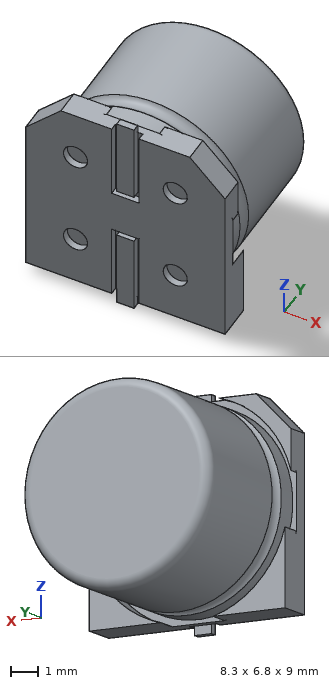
import cadquery as cq

plate_side = 8.3
corner_chamfer = 1.47
low_wall_height = 1.03
high_wall_height = 1.47
pocket_floor = 0.61
pocket_radius = 4.29

can_radius = 4.0
can_top = 6.8
can_edge_fillet = 0.4
groove_width = 0.68
groove_depth = 0.19

lead_span = 9.0
lead_width = 0.72
lead_gap = 2.21
slot_width = 1.13
slot_gap = 1.82
slot_depth = 0.3

hole_diameter = 1.0
hole_spacing = plate_side / 2
hole_depth = 0.3

half_side = plate_side / 2


def block(width, y_start, y_end, z_start, z_end):
    """Box centred on x = 0 between the given Y and Z limits."""
    return cq.Workplane("XY").box(
        width, y_end - y_start, z_end - z_start, centered=(True, False, False)
    ).translate((0, y_start, z_start))


def cylinder(radius, y_start, y_end, x=0, z=0):
    """Cylinder along Y between the given limits."""
    axis_start = cq.Vector(x, y_start, z)
    solid = cq.Solid.makeCylinder(radius, y_end - y_start, axis_start, cq.Vector(0, 1, 0))
    return cq.Workplane(obj=solid)


def make_base():
    """Square base with two chamfered corners and corner walls around a round pocket."""
    upper_half = block(plate_side, 0, low_wall_height, 0, half_side)
    upper_half = upper_half.edges("|Y and >Z").chamfer(corner_chamfer)
    lower_half = block(plate_side, 0, high_wall_height, -half_side, 0)
    pocket = cylinder(pocket_radius, pocket_floor, high_wall_height)
    return upper_half.union(lower_half).cut(pocket)


def make_can():
    """Revolved can with a rounded top edge and a crimped groove above the base."""
    groove_start = high_wall_height
    groove_end = groove_start + groove_width
    groove_middle = (groove_start + groove_end) / 2
    profile = (
        cq.Workplane("XY")
        .moveTo(0, pocket_floor)
        .lineTo(can_radius, pocket_floor)
        .lineTo(can_radius, groove_start)
        .threePointArc((can_radius - groove_depth, groove_middle), (can_radius, groove_end))
        .lineTo(can_radius, can_top)
        .lineTo(0, can_top)
        .close()
    )
    can = profile.revolve(360, (0, 0, 0), (0, 1, 0))
    return can.faces(">Y").edges().fillet(can_edge_fillet)


body = make_base().union(make_can())

upper_slot = block(slot_width, 0, slot_depth, slot_gap / 2, half_side)
upper_lead = block(lead_width, 0, slot_depth, lead_gap / 2, lead_span / 2)
for slot in (upper_slot, upper_slot.mirror("XY")):
    body = body.cut(slot)
for lead in (upper_lead, upper_lead.mirror("XY")):
    body = body.union(lead)

for x_side in (-1, 1):
    for z_side in (-1, 1):
        hole_x = x_side * hole_spacing / 2
        hole_z = z_side * hole_spacing / 2
        body = body.cut(cylinder(hole_diameter / 2, 0, hole_depth, hole_x, hole_z))

result = body